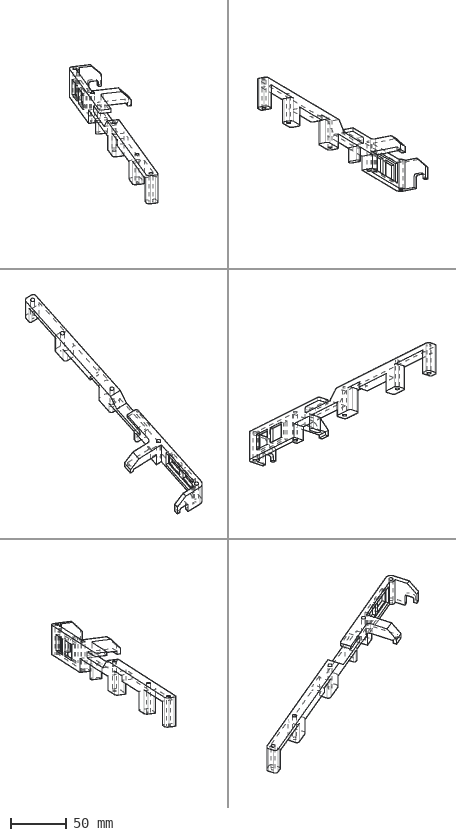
import cadquery as cq

LENGTH = 257.5
HEIGHT = 27.7
REACH = 40.15

BEAM_DEPTH = 11.0
WALL_THICKNESS = 5.5
FRONT_CORNER_RADIUS = 5.0
FAR_END_RADIUS = 3.0

LOW_CEILING = 13.3
HIGH_CEILING = 22.3
RAIL_BOTTOM = 17.2
WALL_END = 66.8
LEG_A = (126.5, 146.4)
LEG_B = (195.7, 212.3)
LEG_C = (248.2, LENGTH)
RAIL_START = 157.6
LEG_RADIUS = 2.7
LEG_C_RADIUS = 1.8

SLOT_FLOOR = 18.3
SLOT_HEIGHT = 6.0
SLOT_START = 82.5
SLOT_RADIUS = 2.0
TONGUE_END = 102.0
TONGUE_RADIUS = 2.0
RAMP_START = 117.5

POST = (87.4, 92.4)
POST_RADIUS = 1.7

WINDOW_SIZE = 15.0
WINDOW_STARTS = (13.4, 33.4)
WINDOW_BOTTOM = 6.2
PANEL_THICKNESS = 3.0
RECESS_MARGIN = 2.0

ARM_TIP_TOP = 18.2
END_ARM_THICKNESS = 4.0
END_ARM_REACH = 30.4
END_ARM_TIP_BOTTOM = 7.0
END_ARM_NOTCH = (18.4, 27.3)
END_ARM_NOTCH_TOP = 12.7
NOTCH_RADIUS = 2.0
MIDDLE_ARM_START = 57.6
MIDDLE_ARM_BOTTOM = 15.7
MIDDLE_ARM_TIP = 3.5
MIDDLE_ARM_TIP_BOTTOM = 12.7
ARM_ROOT_RADIUS = 3.0

HOLE_DIAMETER = 3.6
HOLE_INSET = 5.0
HOLE_STATIONS = (HOLE_INSET, 62.5, 132.8, 207.6, LENGTH - HOLE_INSET)
BOSS_RADIUS = 4.0


def block(x_range, y_range, z_range):
    """Box given by its low and high limit along each axis."""
    size = [high - low for low, high in (x_range, y_range, z_range)]
    corner = (x_range[0], y_range[0], z_range[0])
    return cq.Workplane("XY").box(*size, centered=False).translate(corner)


def middle_of(x_range):
    return sum(x_range) / 2


def leg(x_range, left_radius, right_radius, top):
    """Leg of full beam depth with rounded upright edges on each side."""
    body = block(x_range, (0, BEAM_DEPTH), (0, top))
    body = body.edges("|Z and <X").fillet(left_radius)
    return body.edges("|Z and >X").fillet(right_radius)


def arm(outline, start, thickness):
    """Plate from an outline in the YZ plane, thickened along +X."""
    return cq.Workplane("YZ", origin=(start, 0, 0)).polyline(outline).close().extrude(thickness)


def make_beam():
    """Front wall and the bars that carry on from it, joined inside the legs."""
    wall = block((0, WALL_END), (0, WALL_THICKNESS), (0, HEIGHT))
    screw_leg = block((MIDDLE_ARM_START, WALL_END), (0, BEAM_DEPTH), (0, HEIGHT))
    low_bar = block((WALL_END, middle_of(LEG_A)), (0, BEAM_DEPTH), (LOW_CEILING, HEIGHT))
    high_bar = block((middle_of(LEG_A), LENGTH), (0, BEAM_DEPTH), (HIGH_CEILING, HEIGHT))
    rail = block((RAIL_START, middle_of(LEG_B)), (0, BEAM_DEPTH), (RAIL_BOTTOM, HEIGHT))
    rail = rail.edges("|Z and <X and <Y").fillet(LEG_RADIUS)
    high_bar = high_bar.edges("|Z and >X").fillet(FAR_END_RADIUS)
    return wall.union(screw_leg).union(low_bar).union(high_bar).union(rail)


def make_legs():
    """Three legs with screw holes and the narrow post."""
    leg_a = leg(LEG_A, LEG_RADIUS, LEG_RADIUS, HIGH_CEILING)
    leg_b = leg(LEG_B, LEG_RADIUS, LEG_RADIUS, HIGH_CEILING)
    leg_c = leg(LEG_C, LEG_C_RADIUS, FAR_END_RADIUS, HIGH_CEILING)
    post = leg(POST, POST_RADIUS, POST_RADIUS, LOW_CEILING)
    return leg_a.union(leg_b).union(leg_c).union(post)


def make_end_arm():
    """Thin hooked arm at X = 0 with a rounded notch below."""
    slope_run = HEIGHT - ARM_TIP_TOP
    outline = [
        (0, 0),
        (END_ARM_NOTCH[0], 0),
        (END_ARM_NOTCH[0], END_ARM_NOTCH_TOP),
        (END_ARM_NOTCH[1], END_ARM_NOTCH_TOP),
        (END_ARM_NOTCH[1], END_ARM_TIP_BOTTOM),
        (END_ARM_REACH, END_ARM_TIP_BOTTOM),
        (END_ARM_REACH, ARM_TIP_TOP),
        (END_ARM_REACH - slope_run, HEIGHT),
        (0, HEIGHT),
    ]
    plate = arm(outline, 0, END_ARM_THICKNESS)
    margin = 1.0
    notch_corners = cq.selectors.BoxSelector(
        (-margin, END_ARM_NOTCH[0] - margin, END_ARM_NOTCH_TOP - margin),
        (END_ARM_THICKNESS + margin, END_ARM_NOTCH[1] + margin, END_ARM_NOTCH_TOP + margin),
    )
    return plate.edges("|X").edges(notch_corners).fillet(NOTCH_RADIUS)


def make_middle_arm():
    """Long hooked arm at the end of the front wall."""
    slope_run = HEIGHT - ARM_TIP_TOP
    tip_inside = REACH - MIDDLE_ARM_TIP
    outline = [
        (0, MIDDLE_ARM_BOTTOM),
        (tip_inside, MIDDLE_ARM_BOTTOM),
        (tip_inside, MIDDLE_ARM_TIP_BOTTOM),
        (REACH, MIDDLE_ARM_TIP_BOTTOM),
        (REACH, ARM_TIP_TOP),
        (REACH - slope_run, HEIGHT),
        (0, HEIGHT),
    ]
    return arm(outline, MIDDLE_ARM_START, WALL_END - MIDDLE_ARM_START)


def make_arm_root():
    """Concave fillet between the middle arm and the back of the beam."""
    size = ARM_ROOT_RADIUS
    fill = block(
        (WALL_END, WALL_END + size),
        (BEAM_DEPTH, BEAM_DEPTH + size),
        (MIDDLE_ARM_BOTTOM, HEIGHT),
    )
    hollow = (
        cq.Workplane("XY")
        .center(WALL_END + size, BEAM_DEPTH + size)
        .circle(size)
        .extrude(HEIGHT)
    )
    return fill.cut(hollow)


def make_slot():
    """Opening under the tongue, continued upwards between the tongue and the ramp."""
    ramp_end = RAMP_START + HEIGHT - SLOT_FLOOR
    slot_top = SLOT_FLOOR + SLOT_HEIGHT
    gap = (
        cq.Workplane("XZ")
        .polyline(
            [
                (TONGUE_END, SLOT_FLOOR),
                (RAMP_START, SLOT_FLOOR),
                (ramp_end, HEIGHT),
                (TONGUE_END, HEIGHT),
            ]
        )
        .close()
        .extrude(-BEAM_DEPTH)
    )
    slot = block((SLOT_START, RAMP_START), (0, BEAM_DEPTH), (SLOT_FLOOR, slot_top))
    slot = slot.edges("|Y and <X").fillet(SLOT_RADIUS)
    tongue_heights = (slot_top, HEIGHT)
    corner = block((TONGUE_END - TONGUE_RADIUS, TONGUE_END), (0, TONGUE_RADIUS), tongue_heights)
    rounding = (
        cq.Workplane("XY")
        .center(TONGUE_END - TONGUE_RADIUS, TONGUE_RADIUS)
        .circle(TONGUE_RADIUS)
        .extrude(HEIGHT)
    )
    return slot.union(gap).union(corner.cut(rounding))


def make_windows():
    """Square windows through a thin panel, with one shared recess behind them."""
    cutter = cq.Workplane("XY")
    for start in WINDOW_STARTS:
        window = block(
            (start, start + WINDOW_SIZE),
            (0, WALL_THICKNESS),
            (WINDOW_BOTTOM, WINDOW_BOTTOM + WINDOW_SIZE),
        )
        cutter = cutter.add(window)
    recess = block(
        (WINDOW_STARTS[0] - RECESS_MARGIN, WINDOW_STARTS[-1] + WINDOW_SIZE + RECESS_MARGIN),
        (PANEL_THICKNESS, WALL_THICKNESS),
        (WINDOW_BOTTOM - RECESS_MARGIN, WINDOW_BOTTOM + WINDOW_SIZE + RECESS_MARGIN),
    )
    cutter = cutter.add(recess)
    return cutter.combine()


boss = cq.Workplane("XY").center(HOLE_INSET, HOLE_INSET).circle(BOSS_RADIUS).extrude(HEIGHT)
hole_centres = [(station, HOLE_INSET) for station in HOLE_STATIONS]
holes = cq.Workplane("XY").pushPoints(hole_centres).circle(HOLE_DIAMETER / 2).extrude(HEIGHT)

result = make_beam().union(make_legs()).union(make_end_arm()).union(make_middle_arm())
result = result.union(make_arm_root()).union(boss)
result = result.edges("|Z and <X and <Y").fillet(FRONT_CORNER_RADIUS)
result = result.cut(make_slot()).cut(make_windows()).cut(holes)